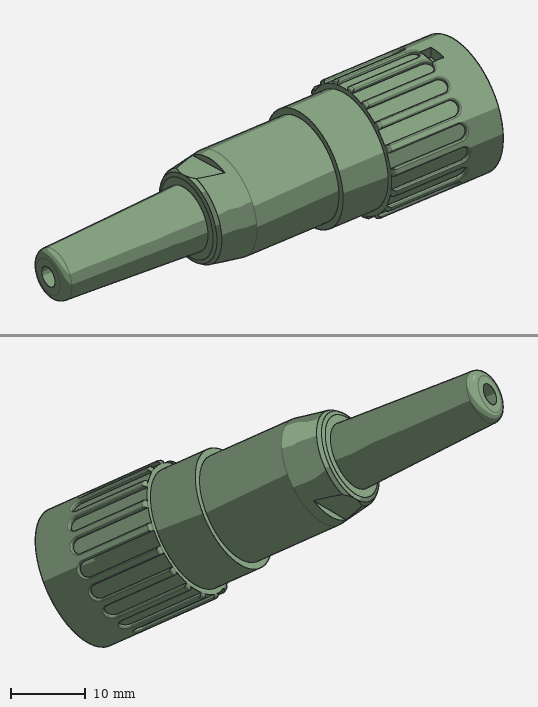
import cadquery as cq
import math

length = 68.15
tip_fillet = 1.15
tip_diameter = 7.5
tail_root_diameter = 9.55
cable_hole_diameter = 3.0
cable_hole_depth = 2.05

head_front = 22.9
head_chamfer_front = 23.1
head_chamfer_back = 23.65
body_front = 28.8
sleeve_front = 42.4
collar_front = 49.8
end_disc_height = 0.2
collar_back = length - end_disc_height

head_diameter = 13.8
head_chamfer_diameter = 13.0
head_face_diameter = 11.85
body_diameter = 15.5
sleeve_diameter = 17.4
collar_diameter = 20.0
end_disc_diameter = 11.25

flats_across = 13.0
flats_back = 27.3
flats_tilt = 10.0

groove_count = 18
groove_width = 2.25
groove_depth = 0.55
groove_back = 62.35
groove_edge_fillet = 0.2
rib_end_fillet = 0.51

key_width = 2.85
key_front = 62.5
key_back = 64.3
key_depth = 1.7

tolerance = 0.01

collar_radius = collar_diameter / 2
groove_floor_radius = collar_radius - groove_depth


def disc(diameter, start, end):
    """Cylinder along Y from start to end."""
    return cq.Workplane("XZ", origin=(0, start, 0)).circle(diameter / 2).extrude(start - end)


def cone(start_diameter, end_diameter, start, end):
    """Truncated cone along Y from start to end."""
    profile = [(0, start), (start_diameter / 2, start), (end_diameter / 2, end), (0, end)]
    return cq.Workplane("XY").polyline(profile).close().revolve(360, (0, 0, 0), (0, 1, 0))


def make_tail():
    """Tapered cable tail with a rounded tip and a short cable hole."""
    tail = cone(tip_diameter, tail_root_diameter, 0, head_front)
    tail = tail.faces("<Y").edges().fillet(tip_fillet)
    return tail.cut(disc(cable_hole_diameter, 0, cable_hole_depth))


def make_head():
    """Conical head with a two-step bevel at the front and two opposite wrench flats."""
    head = (
        cone(head_face_diameter, head_chamfer_diameter, head_front, head_chamfer_front)
        .union(cone(head_chamfer_diameter, head_diameter, head_chamfer_front, head_chamfer_back))
        .union(cone(head_diameter, body_diameter, head_chamfer_back, body_front))
    )
    flat_length = flats_back - head_front
    for tilt in (flats_tilt, flats_tilt + 180):
        cutter = (
            cq.Workplane("XY")
            .box(body_diameter, flat_length, body_diameter, centered=(True, False, False))
            .translate((0, head_front, flats_across / 2))
            .rotate((0, 0, 0), (0, 1, 0), -tilt)
        )
        head = head.cut(cutter)
    return head


def groove_cutter(angle):
    """Round-ended groove outside the groove floor, open toward the tip."""
    end_radius = groove_width / 2
    arc_start = groove_back - end_radius
    slot = (
        cq.Workplane("XY")
        .moveTo(-end_radius, collar_front)
        .lineTo(-end_radius, arc_start)
        .threePointArc((0, groove_back), (end_radius, arc_start))
        .lineTo(end_radius, collar_front)
        .close()
        .extrude(collar_diameter)
    )
    slot = slot.cut(disc(2 * groove_floor_radius, collar_front, collar_back))
    return slot.rotate((0, 0, 0), (0, 1, 0), angle)


def is_groove_rim(edge):
    """True for the edges where a groove wall meets the outside of the collar."""
    center = edge.Center()
    start = edge.startPoint()
    on_surface = math.isclose(math.hypot(start.x, start.z), collar_radius, abs_tol=tolerance)
    between_ends = collar_front + tolerance < center.y < collar_back - tolerance
    return on_surface and between_ends


def make_collar():
    """Grip collar with rounded ribs between the grooves and a key mark."""
    blank = disc(collar_diameter, collar_front, collar_back)
    collar = blank
    pitch = 360 / groove_count
    for index in range(groove_count):
        collar = collar.cut(groove_cutter((index + 0.5) * pitch))
    rims = [edge for edge in collar.edges().vals() if is_groove_rim(edge)]
    collar = collar.newObject(rims).fillet(groove_edge_fillet)
    rounded_front = blank.faces("<Y").edges().fillet(rib_end_fillet)
    collar = collar.intersect(rounded_front)
    key = (
        cq.Workplane("XY")
        .box(key_width, key_back - key_front, collar_radius, centered=(True, False, False))
        .translate((0, key_front, collar_radius - key_depth))
    )
    return collar.cut(key)


result = (
    make_tail()
    .union(make_head())
    .union(disc(body_diameter, body_front, sleeve_front))
    .union(disc(sleeve_diameter, sleeve_front, collar_front))
    .union(make_collar())
    .union(disc(end_disc_diameter, collar_back, length))
)